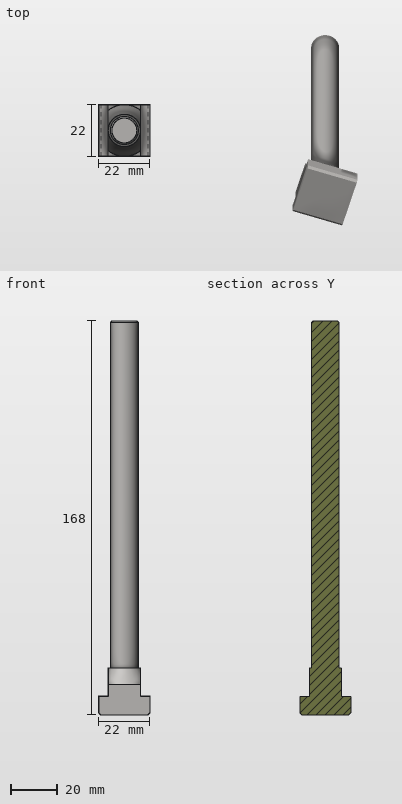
import cadquery as cq

total_height = 168.0
base_side = 22.0
foot_height = 8.0
foot_chamfer = 1.0
neck_width = 13.8
shoulder_height = 13.1
neck_top = 20.2
shaft_diameter = 12.0
shaft_chamfer = 0.7


def make_foot():
    """Square foot with its two lower edges along Y chamfered."""
    foot = cq.Workplane("XY").box(base_side, base_side, foot_height, centered=(True, True, False))
    return foot.faces("<Z").edges("|Y").chamfer(foot_chamfer)


def make_neck():
    """Flat-sided neck whose upper part is trimmed by a cone."""
    lower = cq.Workplane("XY").box(neck_width, base_side, shoulder_height, centered=(True, True, False))
    upper = (
        cq.Workplane("XY")
        .workplane(offset=shoulder_height)
        .rect(neck_width, base_side)
        .extrude(neck_top - shoulder_height)
    )
    cone_bottom_radius = base_side / 2
    cone_top_radius = neck_width / 2
    cone = (
        cq.Workplane("XZ")
        .moveTo(0, shoulder_height)
        .lineTo(cone_bottom_radius, shoulder_height)
        .lineTo(cone_top_radius, neck_top)
        .lineTo(0, neck_top)
        .close()
        .revolve(360, (0, 0), (0, 1))
    )
    return lower.union(upper.intersect(cone))


def make_shaft():
    """Round shaft with a chamfered free end."""
    shaft = cq.Workplane("XY").circle(shaft_diameter / 2).extrude(total_height)
    return shaft.faces(">Z").chamfer(shaft_chamfer)


result = make_foot().union(make_neck()).union(make_shaft())